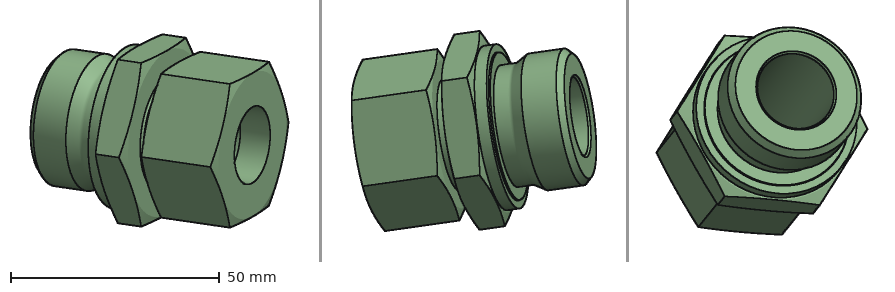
import cadquery as cq
import math

collar_start = 18.0
body_hex_start = 21.0
body_hex_end = 29.0
nut_start = 32.0
nut_end = 52.0
shank_depth_in_nut = 12.0
shank_end = nut_start + shank_depth_in_nut

stud_radius = 33.25 / 2
stud_chamfer_length = 1.6
stud_chamfer_height = 1.5
stud_cone_start = 10.3
stud_cone_angle = math.radians(30)
neck_radius = 14.8
neck_fillet = 1.5

collar_radius = 19.95
shank_radius = 13.5
shank_chamfer = 0.6
bore_radius = 9.5
bore_chamfer = 0.5

seal_radius = 17.9
recess_radius = 18.0
seal_thickness = 2.0
seal_protrusion = 0.4
seal_start = collar_start - seal_protrusion
seal_end = seal_start + seal_thickness

body_across_flats = 41.0
nut_across_flats = 36.0
corner_cone_angle = math.radians(15)
corner_cone_inset = 0.05


def cylinder(radius, start, end):
    """Cylinder on the X axis between two places."""
    return cq.Workplane("YZ").workplane(offset=start).circle(radius).extrude(end - start)


def revolve_about_x(profile):
    """Turn a profile, drawn as X against radius, about the X axis."""
    return profile.close().revolve(360, (0, 0, 0), (1, 0, 0))


def chamfered_hexagon(across_flats, start, end):
    """Hexagonal prism with corners on the Y axis and a corner cone at each end."""
    corner_radius = across_flats / 2 / math.cos(math.pi / 6)
    face_radius = across_flats / 2 - corner_cone_inset
    cone_length = (corner_radius - face_radius) * math.tan(corner_cone_angle)
    prism = cq.Workplane("YZ").workplane(offset=start).polygon(6, 2 * corner_radius).extrude(end - start)
    turned_envelope = revolve_about_x(
        cq.Workplane("XY")
        .moveTo(start, 0)
        .lineTo(start, face_radius)
        .lineTo(start + cone_length, corner_radius)
        .lineTo(end - cone_length, corner_radius)
        .lineTo(end, face_radius)
        .lineTo(end, 0)
    )
    return prism.intersect(turned_envelope)


def make_stud():
    """Stud with a lead-in chamfer and a cone blending into the neck."""
    blend_center_radius = neck_radius + neck_fillet
    blend_start_radius = blend_center_radius - neck_fillet * math.cos(stud_cone_angle)
    blend_mid_radius = blend_center_radius - neck_fillet * math.cos(stud_cone_angle / 2)
    cone_end = stud_cone_start + (stud_radius - blend_start_radius) / math.tan(stud_cone_angle)
    blend_end = cone_end + neck_fillet * math.sin(stud_cone_angle)
    blend_mid = blend_end - neck_fillet * math.sin(stud_cone_angle / 2)
    return revolve_about_x(
        cq.Workplane("XY")
        .lineTo(0, stud_radius - stud_chamfer_height)
        .lineTo(stud_chamfer_length, stud_radius)
        .lineTo(stud_cone_start, stud_radius)
        .lineTo(cone_end, blend_start_radius)
        .threePointArc((blend_mid, blend_mid_radius), (blend_end, neck_radius))
        .lineTo(collar_start, neck_radius)
        .lineTo(collar_start, 0)
    )


def make_shank():
    """Shank that enters the nut, with a small chamfer at its root on the hexagon."""
    return revolve_about_x(
        cq.Workplane("XY")
        .moveTo(body_hex_end, 0)
        .lineTo(body_hex_end, shank_radius + shank_chamfer)
        .lineTo(body_hex_end + shank_chamfer, shank_radius)
        .lineTo(shank_end, shank_radius)
        .lineTo(shank_end, 0)
    )


def make_bore():
    """Through bore, opened by a chamfer at the stud end."""
    return revolve_about_x(
        cq.Workplane("XY")
        .lineTo(0, bore_radius + bore_chamfer)
        .lineTo(bore_chamfer, bore_radius)
        .lineTo(nut_end, bore_radius)
        .lineTo(nut_end, 0)
    )


def make_ring(outer_radius):
    """Ring around the neck that fills the seal length."""
    return cylinder(outer_radius, seal_start, seal_end).cut(cylinder(neck_radius, seal_start, seal_end))


def make_body():
    collar = cylinder(collar_radius, collar_start, body_hex_start)
    hexagon = chamfered_hexagon(body_across_flats, body_hex_start, body_hex_end)
    solid = make_stud().union(collar).union(hexagon).union(make_shank())
    return solid.cut(make_bore()).cut(make_ring(recess_radius))


def make_nut():
    hexagon = chamfered_hexagon(nut_across_flats, nut_start, nut_end)
    shank_socket = cylinder(shank_radius, nut_start, shank_end)
    return hexagon.cut(make_bore()).cut(shank_socket)


body = make_body()
seal = make_ring(seal_radius)
nut = make_nut()

result = cq.Compound.makeCompound([body.solids().val(), seal.solids().val(), nut.solids().val()])